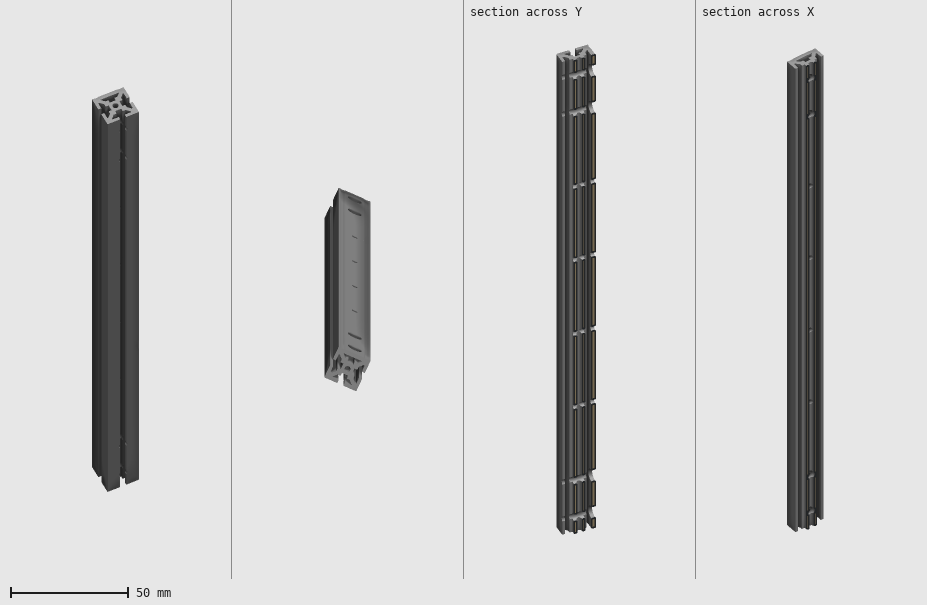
import cadquery as cq

length = 257.0
side = 15.0
half = side / 2
corner_radius = 0.3

slot_width = 2.8
slot_edge_radius = 0.3
lip_thickness = 1.41
closed_wall_thickness = 1.8
cavity_width = 8.7
cavity_depth = 2.0
cavity_chamfer = 1.5
pocket_bottom = 2.5
bore_diameter = 2.5

groove_inset = 1.88
groove_center = half - groove_inset
groove_width = 2.5
groove_floor_width = 1.18
groove_depth = 0.18

screw_hole_heights = [100.0, 120.0]
pin_hole_heights = [20.0, 60.0]
screw_hole_diameter = 3.9
access_hole_diameter = 6.5
pin_hole_diameter = 2.5


def rail_blank():
    blank = cq.Workplane("XY").rect(side, side).extrude(length)
    return blank.edges("|Z").fillet(corner_radius)


def slot_cavity(wall_thickness):
    """Undercut behind a +X wall of the given thickness, with the narrow pocket behind it."""
    mouth = half - wall_thickness
    floor = half - lip_thickness - cavity_depth
    upper = [
        (pocket_bottom, slot_width / 2),
        (floor, slot_width / 2),
        (floor, cavity_width / 2 - cavity_chamfer),
        (floor + cavity_chamfer, cavity_width / 2),
        (mouth, cavity_width / 2),
    ]
    lower = [(x, -y) for x, y in reversed(upper)]
    return cq.Workplane("XY").polyline(upper + lower).close().extrude(length)


def slot_opening():
    """Opening through the +X lip, flared by the rounded edges of the lip."""
    inner = half - lip_thickness
    edge = slot_width / 2
    return (
        cq.Workplane("XY")
        .moveTo(inner, -edge)
        .lineTo(half - slot_edge_radius, -edge)
        .radiusArc((half, -edge - slot_edge_radius), slot_edge_radius)
        .lineTo(half, edge + slot_edge_radius)
        .radiusArc((half - slot_edge_radius, edge), slot_edge_radius)
        .lineTo(inner, edge)
        .close()
        .extrude(length)
    )


def locating_groove(y):
    return (
        cq.Workplane("XY")
        .polyline([
            (-half, y - groove_width / 2),
            (-half, y + groove_width / 2),
            (-half + groove_depth, y + groove_floor_width / 2),
            (-half + groove_depth, y - groove_floor_width / 2),
        ])
        .close()
        .extrude(length)
    )


def hole(diameter, depth, height):
    """Round hole entering the -X face at the given height from mid-length."""
    face = cq.Workplane("YZ", origin=(-half, 0, length / 2 + height))
    return face.circle(diameter / 2).extrude(depth)


result = rail_blank()

for angle in (0, 90, 270):
    result = result.cut(slot_cavity(lip_thickness).rotate((0, 0, 0), (0, 0, 1), angle))
    result = result.cut(slot_opening().rotate((0, 0, 0), (0, 0, 1), angle))
result = result.cut(slot_cavity(closed_wall_thickness).rotate((0, 0, 0), (0, 0, 1), 180))
result = result.cut(cq.Workplane("XY").circle(bore_diameter / 2).extrude(length))

for y in (-groove_center, groove_center):
    result = result.cut(locating_groove(y))

for direction in (-1, 1):
    for height in screw_hole_heights:
        result = result.cut(hole(screw_hole_diameter, side, direction * height))
        result = result.cut(hole(access_hole_diameter, closed_wall_thickness, direction * height))
    for height in pin_hole_heights:
        result = result.cut(hole(pin_hole_diameter, side, direction * height))